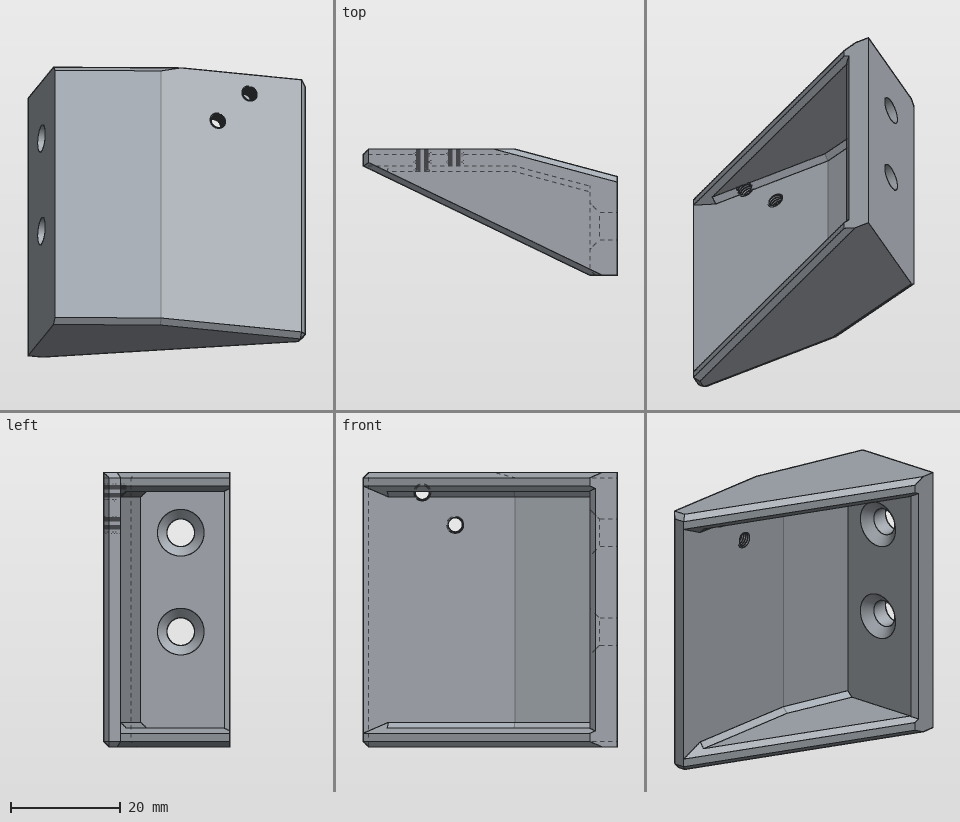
import cadquery as cq
import math

length = 46.25
depth = 23.0
height = 50.0

floor_y = 19.9
end_wall = 5.0
mouth_end_x = length - end_wall
bend_x = 27.6
back_angle = 15.0
edge_chamfer = 1.0

side_wall = 3.5
rim_chamfer = 1.0
floor_chamfer = 1.0

screw_diameter = 5.0
sink_diameter = 8.5
sink_angle = 90.0
screw_y = 8.95
screw_heights = (21.0, 39.0)

thread_minor_diameter = 2.55
thread_major_diameter = 3.1
thread_pitch = 0.5
thread_groove_width = 0.45
thread_overlap = 0.05
thread_centres = ((10.75, 46.35), (16.75, 40.45))

overrun = 2.5
back_slope = math.tan(math.radians(back_angle))


def prism(points, bottom=0, top=height):
    """Extrude an XY outline between two heights."""
    return cq.Workplane("XY", origin=(0, 0, bottom)).polyline(points).close().extrude(top - bottom)


def make_body():
    """Wedge with its outer edges chamfered."""
    right_back_y = depth - (length - bend_x) * back_slope
    body = prism([
        (0, floor_y),
        (mouth_end_x, 0),
        (length, 0),
        (length, right_back_y),
        (bend_x, depth),
        (0, depth),
    ])
    mouth_mid = (mouth_end_x / 2, floor_y / 2)
    end_mid = (0, (floor_y + depth) / 2)
    slope_mid = ((bend_x + length) / 2, (depth + right_back_y) / 2)
    flat_mid = (bend_x / 2, depth)

    chamfered = [(0, depth, height / 2), (*flat_mid, 0)]
    for z in (0, height):
        for middle in (mouth_mid, end_mid, slope_mid):
            chamfered.append((*middle, z))
    edges = cq.Workplane("XY")
    for point in chamfered:
        edges = edges.add(body.edges(cq.selectors.NearestToPointSelector(point)))
    return body.newObject(edges.vals()).chamfer(edge_chamfer)


def make_pocket():
    """Bent-floor pocket with chamfers between floor and side walls."""
    floor_right_y = floor_y - (mouth_end_x - bend_x) * back_slope
    floor_points = [
        (mouth_end_x, floor_right_y),
        (bend_x, floor_y),
        (-overrun, floor_y),
    ]
    core_points = [(-overrun, -overrun), (mouth_end_x, -overrun)] + floor_points
    core = prism(core_points, side_wall, height - side_wall)
    edges = cq.Workplane("XY")
    for start, end in zip(floor_points, floor_points[1:]):
        for z in (side_wall, height - side_wall):
            middle = ((start[0] + end[0]) / 2, (start[1] + end[1]) / 2, z)
            edges = edges.add(core.edges(cq.selectors.NearestToPointSelector(middle)))
    core = core.newObject(edges.vals()).chamfer(floor_chamfer)
    return core.union(make_mouth_flare(floor_points))


def make_mouth_flare(floor_points):
    """Flare along the slanted mouth, closed by a chamfer on the end wall."""
    mouth_length = math.hypot(mouth_end_x, floor_y)
    half_mouth = height / 2 - side_wall + rim_chamfer
    reach = half_mouth - overrun
    mouth_plane = cq.Plane(
        origin=(0, floor_y, height / 2),
        xDir=(floor_y / mouth_length, mouth_end_x / mouth_length, 0),
        normal=(mouth_end_x / mouth_length, -floor_y / mouth_length, 0),
    )
    wedge = (
        cq.Workplane(mouth_plane)
        .workplane(offset=-length)
        .polyline([
            (-overrun, half_mouth + overrun),
            (reach, half_mouth - reach),
            (reach, reach - half_mouth),
            (-overrun, -half_mouth - overrun),
        ])
        .close()
        .extrude(3 * length)
    )
    outline = prism([
        (0, floor_y),
        (mouth_end_x, 0),
        (mouth_end_x + rim_chamfer, 0),
        (mouth_end_x, rim_chamfer),
    ] + floor_points[:2])
    return wedge.intersect(outline)


def cut_screw_holes(body):
    """Cones open on the pocket side of the end wall."""
    sink_depth = (sink_diameter - screw_diameter) / 2 / math.tan(math.radians(sink_angle / 2))
    for z in screw_heights:
        start = cq.Vector(mouth_end_x, screw_y, z)
        axis = cq.Vector(1, 0, 0)
        bore = cq.Solid.makeCylinder(screw_diameter / 2, end_wall, start, axis)
        sink = cq.Solid.makeCone(sink_diameter / 2, screw_diameter / 2, sink_depth, start, axis)
        body = body.cut(cq.Workplane(bore)).cut(cq.Workplane(sink))
    return body


def make_thread_cutter():
    """Bore along +Z with a helical V groove, starting at the origin."""
    minor_radius = thread_minor_diameter / 2
    major_radius = thread_major_diameter / 2
    root_radius = minor_radius - thread_overlap
    thread_length = depth - floor_y + floor_chamfer + thread_pitch
    half_groove = thread_groove_width / 2
    helix = cq.Wire.makeHelix(thread_pitch, thread_length, root_radius)
    groove = (
        cq.Workplane("XZ")
        .polyline([
            (root_radius, -half_groove),
            (major_radius, 0),
            (root_radius, half_groove),
        ])
        .close()
        .sweep(cq.Workplane(helix), isFrenet=True)
    )
    return cq.Workplane("XY").circle(minor_radius).extrude(thread_length).union(groove)


def cut_threaded_holes(body):
    """Threaded through holes from the pocket floor to the flat back."""
    cutter = make_thread_cutter().rotate((0, 0, 0), (1, 0, 0), -90)
    for x, z in thread_centres:
        body = body.cut(cutter.translate((x, floor_y - floor_chamfer, z)))
    return body


result = make_body().cut(make_pocket())
result = cut_screw_holes(result)
result = cut_threaded_holes(result)